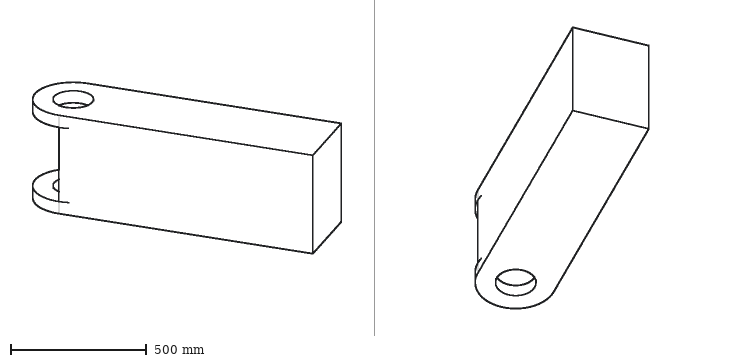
import cadquery as cq

length = 1150.0
width = 300.0
height = 400.0
lug_thickness = 50.0
hole_diameter = 150.0

end_radius = width / 2
body_length = length - end_radius
gap_height = height - 2 * lug_thickness


def rounded_bar():
    """Bar with a half-round end centred on the pin axis, which is the Z axis."""
    block = cq.Workplane("XY").box(body_length, width, height, centered=(False, True, True))
    round_end = cq.Workplane("XY").cylinder(height, end_radius)
    return block.union(round_end)


def lug_gap():
    """Round clearance between the lugs, leaving a concave face on the body."""
    return cq.Workplane("XY").cylinder(gap_height, end_radius)


def pin_hole():
    """Hole through both lugs."""
    return cq.Workplane("XY").cylinder(height, hole_diameter / 2)


result = rounded_bar().cut(lug_gap()).cut(pin_hole())